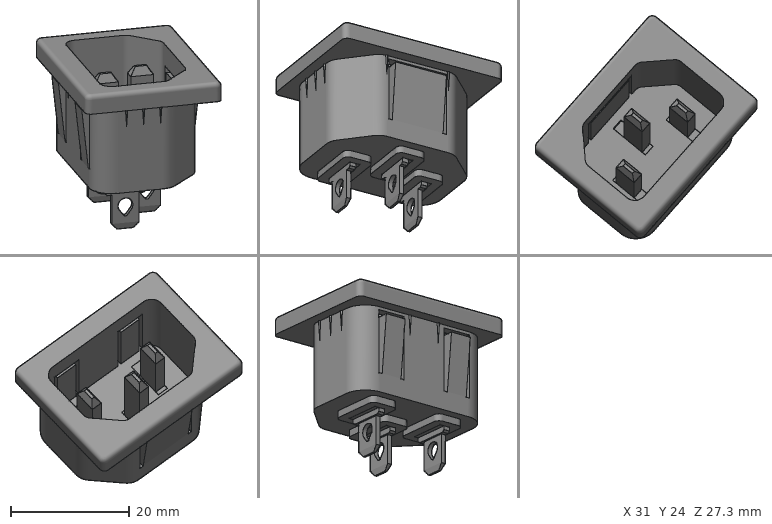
import cadquery as cq
import math


FLANGE_WIDTH = 31.0
FLANGE_DEPTH = 24.0
FLANGE_THICKNESS = 3.32
FLANGE_CORNER_RADIUS = 1.05
FLANGE_EDGE_RADIUS = 0.8

BODY_WIDTH = 26.95
BODY_DEPTH = 19.55
BODY_BOTTOM = -18.75
BODY_CORNER_RADIUS = 4.0
BODY_CHAMFER = 6.25
BODY_CHAMFER_RADIUS = 3.1

CAVITY_WIDTH = 24.12
CAVITY_DEPTH = 16.1
CAVITY_CORNER_RADIUS = 2.08
CAVITY_CHAMFER = 4.85
CAVITY_CHAMFER_RADIUS = 1.6
CAVITY_FLOOR = -15.3

PIN_PITCH = 6.98

WINDOW_TOP = -3.88
CLIP_TOP = -4.8
FRONT_CLIP_WIDTH = 4.03
BACK_CLIP_WIDTH = 9.92
CLIP_SIDE_GAP = 0.68
CLIP_OVERHANG = 1.15

RIB_WIDTH = 0.5
RIB_HEIGHT = 0.28
RIB_LENGTH = 3.55
RIB_PITCH = 3.0
SIDE_RIB_CENTER_Y = -1.33

SLOT_LENGTH = 7.13
SLOT_CENTER_Y = 2.9
PIN_THICKNESS = 1.98
GROUND_END_GAP = 0.12
BLADE_WIDTH = 4.03
BLADE_CENTER_Y = 2.08
GROUND_TIP = -1.2
LINE_TIP = -4.53
TIP_HEIGHT = 1.5
TIP_INSET_X = 0.7
TIP_INSET_Y = 1.0

BOSS_SIDE_MARGIN = 1.7
BOSS_END_MARGIN = 1.58
BOSS_HEIGHT = 1.27
BOSS_RADIUS = 1.05
BOSS_BOTTOM = BODY_BOTTOM - BOSS_HEIGHT

SHOULDER_THICKNESS = 1.18
SHOULDER_HEIGHT = 1.02
SHOULDER_CHAMFER = 0.35
TAB_THICKNESS = 0.85
TAB_WIDTH = 4.85
TAB_BOTTOM = -27.3
TAB_TIP_HEIGHT = 1.05
TAB_TIP_INSET_X = 0.22
TAB_TIP_INSET_Y = 1.0
EYE_Z = -23.1
EYE_RADIUS = 1.3
EYE_POINT_RADIUS = 0.4
EYE_BOTTOM = -25.0

PIN_LAYOUT = [
    (-PIN_PITCH, -1, LINE_TIP, 0),
    (0, 1, GROUND_TIP, GROUND_END_GAP),
    (PIN_PITCH, -1, LINE_TIP, 0),
]


def box(x_range, y_range, z_range):
    """Box between the given limits on each axis."""
    size = [high - low for low, high in (x_range, y_range, z_range)]
    corner = (x_range[0], y_range[0], z_range[0])
    return cq.Workplane("XY").box(*size, centered=False).translate(corner)


def centered_box(center_x, center_y, width, depth, bottom, top):
    """Box centered on a point in plan."""
    x_range = (center_x - width / 2, center_x + width / 2)
    y_range = (center_y - depth / 2, center_y + depth / 2)
    return box(x_range, y_range, (bottom, top))


def keyed_prism(width, depth, chamfer, chamfer_radius, corner_radius, bottom, top):
    """Rectangular prism with its two +Y corners cut at 45 degrees and all corners rounded."""
    half_x = width / 2
    half_y = depth / 2
    prism = (
        cq.Workplane("XY", origin=(0, 0, bottom))
        .moveTo(-half_x, -half_y)
        .lineTo(half_x, -half_y)
        .lineTo(half_x, half_y - chamfer)
        .lineTo(half_x - chamfer, half_y)
        .lineTo(chamfer - half_x, half_y)
        .lineTo(-half_x, half_y - chamfer)
        .close()
        .extrude(top - bottom)
    )
    prism = prism.edges("|Z").edges("<Y").fillet(corner_radius)
    return prism.edges("|Z").edges(">>Y or >>Y[-2]").fillet(chamfer_radius)


def make_flange():
    flange = centered_box(0, 0, FLANGE_WIDTH, FLANGE_DEPTH, -FLANGE_THICKNESS, 0)
    flange = flange.edges("|Z").fillet(FLANGE_CORNER_RADIUS)
    return flange.faces(">Z").edges().fillet(FLANGE_EDGE_RADIUS)


def make_boss(center_x, side):
    width = PIN_THICKNESS + 2 * BOSS_SIDE_MARGIN
    depth = SLOT_LENGTH + 2 * BOSS_END_MARGIN
    boss = centered_box(center_x, side * SLOT_CENTER_Y, width, depth, BOSS_BOTTOM, BODY_BOTTOM)
    return boss.edges("|Z").fillet(BOSS_RADIUS)


def make_slot(center_x, side):
    """Opening through the floor and boss that holds one pin."""
    return centered_box(
        center_x, side * SLOT_CENTER_Y, PIN_THICKNESS, SLOT_LENGTH, BOSS_BOTTOM, CAVITY_FLOOR
    )


def make_window(center_x, side, clip_width):
    """Opening through the wall, from the cavity floor to just under the flange."""
    wall = (BODY_DEPTH - CAVITY_DEPTH) / 2
    center_y = side * (BODY_DEPTH - wall) / 2
    width = clip_width + 2 * CLIP_SIDE_GAP
    return centered_box(center_x, center_y, width, wall, CAVITY_FLOOR, WINDOW_TOP)


def make_clip(center_x, side, clip_width):
    """Wedge flush with the wall at its foot and leaning outward toward its top."""
    inner_y = side * CAVITY_DEPTH / 2
    foot_y = side * BODY_DEPTH / 2
    top_y = foot_y + side * CLIP_OVERHANG
    return (
        cq.Workplane("YZ", origin=(center_x, 0, 0))
        .polyline(
            [(inner_y, CAVITY_FLOOR), (foot_y, CAVITY_FLOOR), (top_y, CLIP_TOP), (inner_y, CLIP_TOP)]
        )
        .close()
        .extrude(clip_width / 2, both=True)
    )


def make_rib(x, y, along_x):
    """Ridged spike: a pyramid on a rhombus, centered on the wall so that half of it stands proud.

    along_x is true where the wall runs along X.
    """
    half_x, half_y = (RIB_WIDTH / 2, RIB_HEIGHT) if along_x else (RIB_HEIGHT, RIB_WIDTH / 2)
    corners = [
        cq.Vector(x + step_x * half_x, y + step_y * half_y, -FLANGE_THICKNESS)
        for step_x, step_y in ((1, 0), (0, 1), (-1, 0), (0, -1))
    ]
    point = cq.Vector(x, y, -FLANGE_THICKNESS - RIB_LENGTH)
    outlines = [corners]
    outlines += [[corners[i - 1], corners[i], point] for i in range(len(corners))]
    faces = [cq.Face.makeFromWires(cq.Wire.makePolygon(outline, close=True)) for outline in outlines]
    return cq.Workplane(cq.Solid.makeSolid(cq.Shell.makeShell(faces)))


def rib_places():
    """Points on the outer walls where the crush ribs stand, and whether the wall runs along X."""
    front = [(sign * RIB_PITCH, -BODY_DEPTH / 2, True) for sign in (-1, 1)]
    back = [(sign * 2 * RIB_PITCH, BODY_DEPTH / 2, True) for sign in (-1, 1)]
    sides = [
        (sign * BODY_WIDTH / 2, SIDE_RIB_CENTER_Y + step * RIB_PITCH, False)
        for sign in (-1, 1)
        for step in (-1, 0, 1)
    ]
    return front + back + sides


def make_housing():
    body = keyed_prism(
        BODY_WIDTH, BODY_DEPTH, BODY_CHAMFER, BODY_CHAMFER_RADIUS, BODY_CORNER_RADIUS,
        BODY_BOTTOM, -FLANGE_THICKNESS,
    )
    cavity = keyed_prism(
        CAVITY_WIDTH, CAVITY_DEPTH, CAVITY_CHAMFER, CAVITY_CHAMFER_RADIUS, CAVITY_CORNER_RADIUS,
        CAVITY_FLOOR, 0,
    )
    housing = make_flange().union(body)
    for place in rib_places():
        housing = housing.union(make_rib(*place))
    housing = housing.cut(cavity)

    clips = [
        (-PIN_PITCH, -1, FRONT_CLIP_WIDTH),
        (PIN_PITCH, -1, FRONT_CLIP_WIDTH),
        (0, 1, BACK_CLIP_WIDTH),
    ]
    for clip in clips:
        housing = housing.cut(make_window(*clip)).union(make_clip(*clip))

    for x, side, _, _ in PIN_LAYOUT:
        housing = housing.union(make_boss(x, side)).cut(make_slot(x, side))
    return housing


def tapered_end(x, y, thickness, width, start, inset_x, inset_y, height):
    """Wedge-shaped end narrowing on all four sides; a negative height points it down."""
    return (
        cq.Workplane("XY", origin=(x, y, start))
        .rect(thickness, width)
        .workplane(offset=height)
        .rect(thickness - 2 * inset_x, width - 2 * inset_y)
        .loft(ruled=True)
    )


def make_eye(x, y):
    """Teardrop hole through a solder tab: a large and a small circle joined by tangents."""
    point_z = EYE_BOTTOM + EYE_POINT_RADIUS
    tilt = math.asin((EYE_RADIUS - EYE_POINT_RADIUS) / (EYE_Z - point_z))
    across = math.cos(tilt)
    down = math.sin(tilt)
    upper_y = EYE_RADIUS * across
    upper_z = EYE_Z - EYE_RADIUS * down
    lower_y = EYE_POINT_RADIUS * across
    lower_z = point_z - EYE_POINT_RADIUS * down
    return (
        cq.Workplane("YZ", origin=(x, y, 0))
        .moveTo(-upper_y, upper_z)
        .threePointArc((0, EYE_Z + EYE_RADIUS), (upper_y, upper_z))
        .lineTo(lower_y, lower_z)
        .threePointArc((0, EYE_BOTTOM), (-lower_y, lower_z))
        .close()
        .extrude(TAB_THICKNESS, both=True)
    )


def make_pin(x, side, tip_z, end_gap):
    right_x = x + PIN_THICKNESS / 2
    root_length = SLOT_LENGTH - end_gap
    root_y = side * (SLOT_CENTER_Y - end_gap / 2)
    root = centered_box(x, root_y, PIN_THICKNESS, root_length, BOSS_BOTTOM, CAVITY_FLOOR)

    shoulder_x = right_x - SHOULDER_THICKNESS / 2
    shoulder_bottom = BOSS_BOTTOM - SHOULDER_HEIGHT
    shoulder = centered_box(
        shoulder_x, root_y, SHOULDER_THICKNESS, root_length, shoulder_bottom, BOSS_BOTTOM
    )
    shoulder = shoulder.faces("<Z").edges("|X").chamfer(SHOULDER_CHAMFER)

    blade_y = side * BLADE_CENTER_Y
    taper_z = tip_z - TIP_HEIGHT
    blade = centered_box(x, blade_y, PIN_THICKNESS, BLADE_WIDTH, CAVITY_FLOOR, taper_z)
    tip = tapered_end(
        x, blade_y, PIN_THICKNESS, BLADE_WIDTH, taper_z, TIP_INSET_X, TIP_INSET_Y, TIP_HEIGHT
    )

    tab_x = right_x - TAB_THICKNESS / 2
    tab_y = side * SLOT_CENTER_Y
    tab_taper_z = TAB_BOTTOM + TAB_TIP_HEIGHT
    tab = centered_box(tab_x, tab_y, TAB_THICKNESS, TAB_WIDTH, tab_taper_z, shoulder_bottom)
    tab_tip = tapered_end(
        tab_x, tab_y, TAB_THICKNESS, TAB_WIDTH, tab_taper_z,
        TAB_TIP_INSET_X, TAB_TIP_INSET_Y, -TAB_TIP_HEIGHT,
    )
    tab = tab.union(tab_tip).cut(make_eye(tab_x, tab_y))
    return root.union(shoulder).union(blade).union(tip).union(tab)


housing = make_housing()
pins = [make_pin(*layout) for layout in PIN_LAYOUT]

result = cq.Compound.makeCompound([housing.solids().val(), *[pin.solids().val() for pin in pins]])